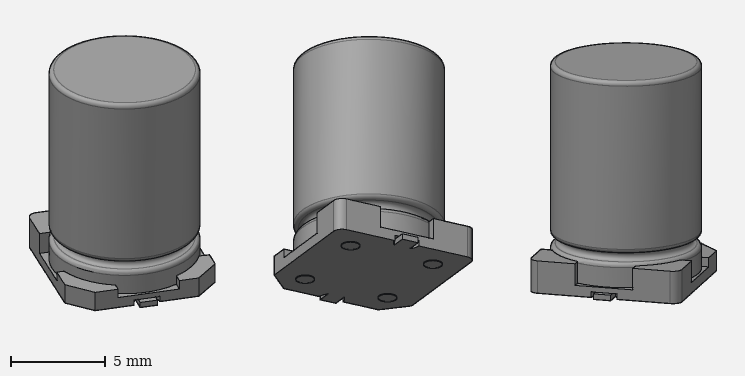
import cadquery as cq
import math

total_height = 11.95
leads_span = 9.0
base_width = 8.3
can_radius = 4.0

foot_height = 0.05
foot_diameter = 1.0
foot_offset = 2.49
base_corner_radius = 0.5
base_chamfer = 1.29
floor_height = 0.65
left_post_height = 1.83
right_post_height = 1.15

left_post_x = 1.82
left_post_y = 1.59
front_right_post_x = 1.39
back_right_post_x = 1.79
back_right_post_y = 1.79

lead_width = 0.96
lead_height = 0.31
opening_diameter = 1.42

rim_radius = 0.25
crimp_bottom = 1.75

half_base = base_width / 2


def base_block(height):
    """Base outline, rounded at the -X corners and chamfered at the +X corners."""
    return (
        cq.Workplane("XY", origin=(0, 0, foot_height))
        .rect(base_width, base_width)
        .extrude(height - foot_height)
        .edges("|Z and <X").fillet(base_corner_radius)
        .edges("|Z and >X").chamfer(base_chamfer)
    )


def corner_post(inner_x, inner_y, height):
    """Post filling the base outline from an inner corner out to the nearest base corner."""
    outer_x = math.copysign(half_base, inner_x)
    outer_y = math.copysign(half_base, inner_y)
    quadrant = (
        cq.Workplane("XY")
        .moveTo((inner_x + outer_x) / 2, (inner_y + outer_y) / 2)
        .rect(abs(outer_x - inner_x), abs(outer_y - inner_y))
        .extrude(height)
    )
    return base_block(height).intersect(quadrant)


def base():
    body = base_block(floor_height)
    posts = [
        (-left_post_x, -left_post_y, left_post_height),
        (-left_post_x, left_post_y, left_post_height),
        (front_right_post_x, -left_post_y, right_post_height),
        (back_right_post_x, back_right_post_y, right_post_height),
    ]
    for inner_x, inner_y, height in posts:
        body = body.union(corner_post(inner_x, inner_y, height))

    openings = (
        cq.Workplane("XY", origin=(0, 0, foot_height))
        .pushPoints([(-half_base, 0), (half_base, 0)])
        .circle(opening_diameter / 2)
        .extrude(lead_height)
    )
    return body.cut(openings)


def leads():
    """One strip through the base whose ends form both leads."""
    return (
        cq.Workplane("XY", origin=(0, 0, foot_height))
        .rect(leads_span, lead_width)
        .extrude(lead_height)
    )


def feet():
    return (
        cq.Workplane("XY")
        .rect(2 * foot_offset, 2 * foot_offset, forConstruction=True)
        .vertices()
        .circle(foot_diameter / 2)
        .extrude(foot_height)
    )


def can():
    """Revolved can: two rounded shoulders with a half-round crimp groove between them."""
    r = rim_radius
    shoulder_radius = can_radius - r
    crimp_middle = crimp_bottom + 2 * r
    crimp_top = crimp_bottom + 4 * r
    arc_mid = r * math.sqrt(0.5)
    profile = (
        cq.Workplane("XZ")
        .moveTo(0, floor_height)
        .lineTo(can_radius, floor_height)
        .lineTo(can_radius, crimp_bottom)
        .threePointArc(
            (shoulder_radius + arc_mid, crimp_bottom + arc_mid),
            (shoulder_radius, crimp_bottom + r),
        )
        .threePointArc(
            (shoulder_radius - r, crimp_middle),
            (shoulder_radius, crimp_middle + r),
        )
        .threePointArc(
            (shoulder_radius + arc_mid, crimp_top - arc_mid),
            (can_radius, crimp_top),
        )
        .lineTo(can_radius, total_height - r)
        .threePointArc(
            (shoulder_radius + arc_mid, total_height - r + arc_mid),
            (shoulder_radius, total_height),
        )
        .lineTo(0, total_height)
        .close()
    )
    return profile.revolve(360, (0, 0, 0), (0, 1, 0))


result = base().union(leads()).union(feet()).union(can())